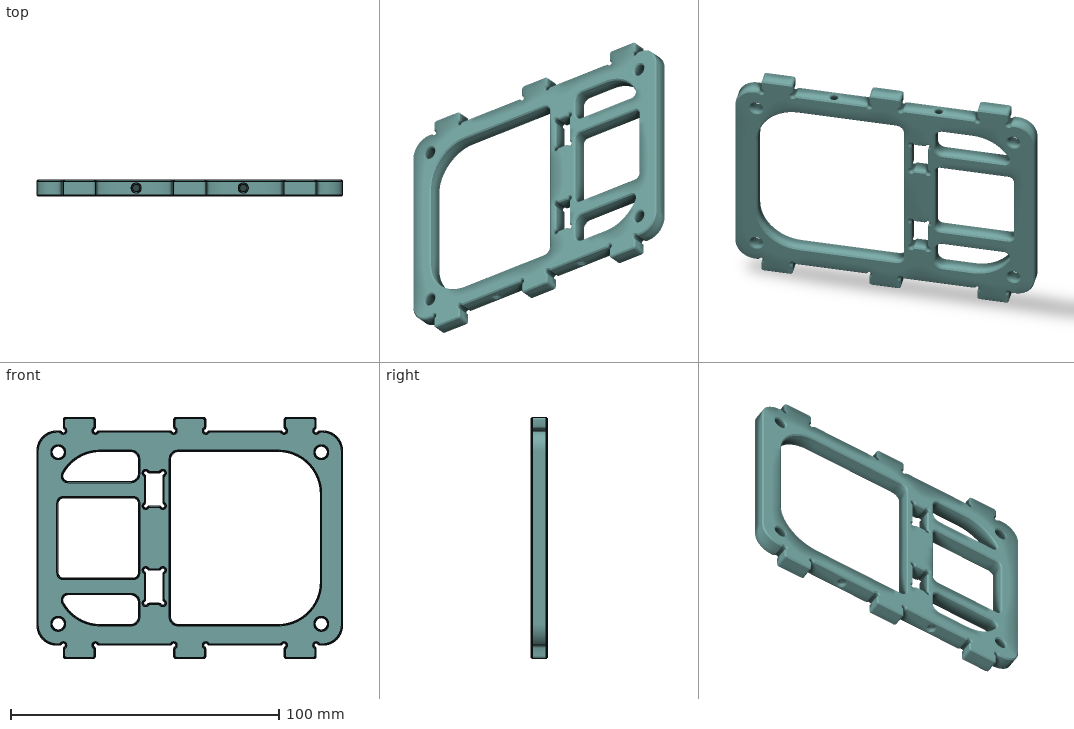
import cadquery as cq
LENGTH = 114.0
HEIGHT = 90.0
THICKNESS = 6.0
FACE_CHAMFER = 0.5

TAB_WIDTH = 12.0
TAB_HEIGHT = 5.0
TAB_SPACING = 41.2
BODY_HEIGHT = HEIGHT - 2 * TAB_HEIGHT

RELIEF_RADIUS = 0.8
EDGE_ROUND = 1.0

CORNER_RADIUS = 7.5
MOUNT_HOLE_DIAMETER = 4.6
MOUNT_INSET = 8.0
MOUNT_X = LENGTH / 2 - MOUNT_INSET
MOUNT_Z = BODY_HEIGHT / 2 - MOUNT_INSET

OPENING_HALF_HEIGHT = 32.3
OPENING_CORNER_RADIUS = 3.0
SWEEP_RADIUS = 15.7
WINDOW_LEFT = -7.2
WINDOW_RIGHT = 48.7
SQUARE_SIZE = 30.0
SQUARE_X = -34.1
SQUARE_CORNER_RADIUS = 2.0
SIDE_OPENING_LEFT = SQUARE_X - SQUARE_SIZE / 2
SIDE_OPENING_RIGHT = SQUARE_X + SQUARE_SIZE / 2
SIDE_OPENING_BASE = 21.1
SIDE_OPENING_TIP_RADIUS = 2.0

SLOT_CLEARANCE = 0.3
SLOT_WIDTH = THICKNESS + SLOT_CLEARANCE
SLOT_HEIGHT = TAB_WIDTH + SLOT_CLEARANCE
SLOT_X = -13.2
SLOT_Z = 18.1

EDGE_HOLE_DIAMETER = 2.7
EDGE_HOLE_X = 20.0
EDGE_HOLE_DEPTH = 6.0


def block(x_min, x_max, z_min, z_max):
    """Box through the full plate thickness."""
    return cq.Workplane("XY").box(x_max - x_min, THICKNESS, z_max - z_min).translate(
        ((x_min + x_max) / 2, 0, (z_min + z_max) / 2)
    )


def cylinders(points, radius):
    """Round bars through the full plate thickness at the given (x, z) points."""
    plane = cq.Workplane("XZ", origin=(0, THICKNESS / 2, 0))
    return plane.pushPoints(points).circle(radius).extrude(THICKNESS)


def round_edges_near(solid, points, reach, radius):
    """Fillet the edges along Y that lie within reach of the (x, z) points."""
    selector = None
    for x, z in points:
        box = cq.selectors.BoxSelector(
            (x - reach, -THICKNESS, z - reach), (x + reach, THICKNESS, z + reach)
        )
        selector = box if selector is None else selector + box
    return solid.edges(cq.selectors.ParallelDirSelector(cq.Vector(0, 1, 0)) & selector).fillet(radius)


def plate_with_tabs():
    plate = block(-LENGTH / 2, LENGTH / 2, -BODY_HEIGHT / 2, BODY_HEIGHT / 2)
    plate = plate.edges("|Y").fillet(CORNER_RADIUS)
    roots = []
    tips = []
    for tab_x in (-TAB_SPACING, 0, TAB_SPACING):
        left = tab_x - TAB_WIDTH / 2
        right = tab_x + TAB_WIDTH / 2
        plate = plate.union(block(left, right, -HEIGHT / 2, HEIGHT / 2))
        for x in (left, right):
            for side in (-1, 1):
                roots.append((x, side * BODY_HEIGHT / 2))
                tips.append((x, side * HEIGHT / 2))
    plate = plate.cut(cylinders(roots, RELIEF_RADIUS))
    return round_edges_near(plate, roots + tips, RELIEF_RADIUS * 1.2, EDGE_ROUND)


def window():
    cutter = block(WINDOW_LEFT, WINDOW_RIGHT, -OPENING_HALF_HEIGHT, OPENING_HALF_HEIGHT)
    cutter = cutter.edges("|Y and <X").fillet(OPENING_CORNER_RADIUS)
    return cutter.edges("|Y and >X").fillet(SWEEP_RADIUS)


def square_opening():
    half = SQUARE_SIZE / 2
    cutter = block(SIDE_OPENING_LEFT, SIDE_OPENING_RIGHT, -half, half)
    return cutter.edges("|Y").fillet(SQUARE_CORNER_RADIUS)


def upper_side_opening():
    """Opening with a large swept outer corner, cut off flat along its base."""
    swept = block(SIDE_OPENING_LEFT, SIDE_OPENING_RIGHT, 0, OPENING_HALF_HEIGHT)
    swept = swept.edges("|Y and <X and >Z").fillet(SWEEP_RADIUS)
    cutter = swept.intersect(
        block(SIDE_OPENING_LEFT, SIDE_OPENING_RIGHT, SIDE_OPENING_BASE, OPENING_HALF_HEIGHT)
    )
    cutter = cutter.edges("|Y and >X").fillet(OPENING_CORNER_RADIUS)
    return cutter.edges("|Y and <X").fillet(SIDE_OPENING_TIP_RADIUS)


def slot(center_z):
    x_min = SLOT_X - SLOT_WIDTH / 2
    x_max = SLOT_X + SLOT_WIDTH / 2
    z_min = center_z - SLOT_HEIGHT / 2
    z_max = center_z + SLOT_HEIGHT / 2
    corners = [(x, z) for x in (x_min, x_max) for z in (z_min, z_max)]
    cutter = block(x_min, x_max, z_min, z_max).union(cylinders(corners, RELIEF_RADIUS))
    return round_edges_near(cutter, corners, RELIEF_RADIUS * 1.2, EDGE_ROUND)


def edge_hole(x):
    """Countersunk blind hole drilled down from the top edge."""
    radius = EDGE_HOLE_DIAMETER / 2
    rim = radius + FACE_CHAMFER
    top = BODY_HEIGHT / 2
    profile = [
        (0, top),
        (rim, top),
        (radius, top - FACE_CHAMFER),
        (radius, top - EDGE_HOLE_DEPTH),
        (0, top - EDGE_HOLE_DEPTH),
    ]
    return cq.Workplane("XZ").polyline(profile).close().revolve(360, (0, 0), (0, 1)).translate((x, 0, 0))


frame = plate_with_tabs().cut(window()).cut(square_opening())

side_opening = upper_side_opening()
frame = frame.cut(side_opening).cut(side_opening.mirror("XY"))

for slot_z in (-SLOT_Z, SLOT_Z):
    frame = frame.cut(slot(slot_z))

mount_points = [(x, z) for x in (-MOUNT_X, MOUNT_X) for z in (-MOUNT_Z, MOUNT_Z)]
frame = frame.cut(cylinders(mount_points, MOUNT_HOLE_DIAMETER / 2))

frame = frame.faces("<Y or >Y").edges().chamfer(FACE_CHAMFER)

for hole_x in (-EDGE_HOLE_X, EDGE_HOLE_X):
    hole = edge_hole(hole_x)
    frame = frame.cut(hole).cut(hole.mirror("XY"))

result = frame